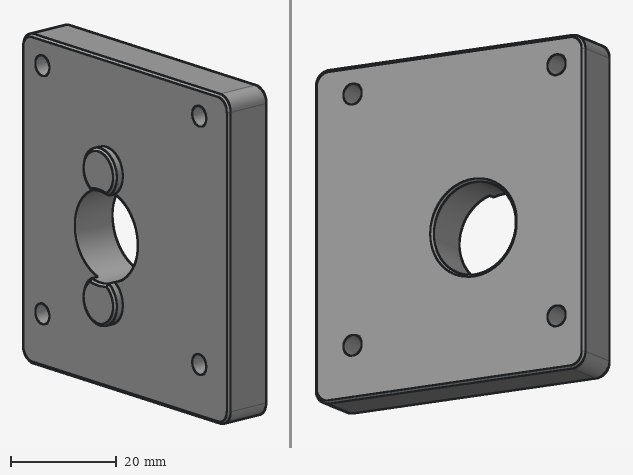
import cadquery as cq

plate_width = 59.3
plate_height = 65.0
plate_thickness = 10.0
corner_radius = 3.0
edge_chamfer = 0.5

bore_x = -5.3
bore_z = -2.4
bore_diameter = 18.0
bore_rear_chamfer = 0.5

pad_diameter = 9.5
pad_height = 2.0
pad_offset = 12.75
pad_chamfer = 0.5

mount_center_x = -1.2
mount_center_z = 2.55
mount_spacing_x = 44.85
mount_spacing_z = 48.95
mount_diameter = 4.0


def front_plane(x, z):
    """Sketch plane on the front face; its normal points toward -Y."""
    return cq.Workplane("XZ", origin=(x, 0, z))


def make_plate():
    return (
        front_plane(0, 0)
        .rect(plate_width, plate_height)
        .extrude(-plate_thickness)
        .edges("|Y")
        .fillet(corner_radius)
        .faces("<Y or >Y")
        .chamfer(edge_chamfer)
    )


def make_pad(side):
    """Round pad with a bite taken by the bore; side is +1 above or -1 below."""
    bore_plug = front_plane(bore_x, bore_z).circle(bore_diameter / 2).extrude(pad_height)
    return (
        front_plane(bore_x, bore_z + side * pad_offset)
        .circle(pad_diameter / 2)
        .extrude(pad_height)
        .cut(bore_plug)
        .faces("<Y")
        .chamfer(pad_chamfer)
    )


def make_mounting_holes():
    return (
        front_plane(mount_center_x, mount_center_z)
        .rarray(mount_spacing_x, mount_spacing_z, 2, 2)
        .circle(mount_diameter / 2)
        .extrude(-plate_thickness)
    )


def make_bore():
    """Through bore, widened by a chamfer where it leaves the rear face."""
    rear_diameter = bore_diameter + 2 * bore_rear_chamfer
    flared_plug = (
        front_plane(bore_x, bore_z)
        .workplane(offset=-plate_thickness)
        .circle(rear_diameter / 2)
        .workplane(offset=bore_rear_chamfer)
        .circle(bore_diameter / 2)
        .loft(ruled=True)
    )
    straight_bore = front_plane(bore_x, bore_z).circle(bore_diameter / 2).extrude(-plate_thickness)
    return straight_bore.union(flared_plug)


result = make_plate().cut(make_bore()).cut(make_mounting_holes())
for pad_side in (1, -1):
    result = result.union(make_pad(pad_side))